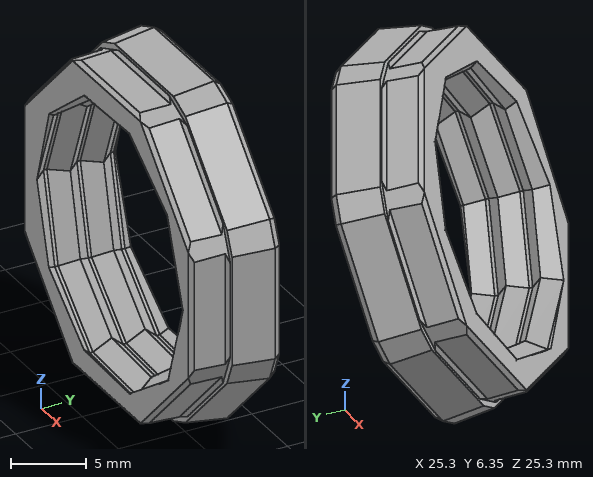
import cadquery as cq
import math


width = 6.35
front_chamfer_end = 0.3
neck_end = 2.58
shoulder = 2.8
collar_widest = 5.81

sides = 8
half_side = 180 / sides

front_flat = 11.38
neck_front_flat = 11.65
neck_back_flat = 11.73
neck_root_flat = 12.0
collar_front_flat = 12.24
collar_flat = 12.65
back_chamfer = 0.38

neck_front_corner = 12.3
neck_back_corner = 12.45
collar_corner_extra = 0.63

steps_per_turn = 10
pitch = 2.5
crest_radius = 9.65
root_radius = 10.6
root_start = -pitch / steps_per_turn
root_end = 0.0
crest_after_root = pitch / 2
thread_turns = range(-2, 5)


def octagon_stack(levels, turn):
    """Stack of octagonal frustums through (y, half width) levels, turned about Y in degrees."""
    stack = cq.Workplane("XY")
    for (y_low, half_low), (y_high, half_high) in zip(levels, levels[1:]):
        frustum = (
            cq.Workplane("XZ", origin=(0, y_low, 0))
            .polygon(sides, 2 * half_low, circumscribed=True)
            .workplane(offset=y_low - y_high)
            .polygon(sides, 2 * half_high, circumscribed=True)
            .loft(ruled=True)
        )
        stack = stack.union(frustum)
    return stack.rotate((0, 0, 0), (0, 1, 0), turn)


def outer_body():
    collar = [
        (shoulder, collar_front_flat),
        (collar_widest, collar_flat),
        (width, collar_flat - back_chamfer),
    ]
    neck = [
        (0, front_flat),
        (front_chamfer_end, neck_front_flat),
        (neck_end, neck_back_flat),
        (shoulder, neck_root_flat),
    ]
    neck_corners = [(0, neck_front_corner), (shoulder, neck_back_corner)]
    collar_corners = [(y, half + collar_corner_extra) for y, half in collar]

    flats = octagon_stack(neck, 0).union(octagon_stack(collar, 0))
    corners = octagon_stack(neck_corners, half_side).union(octagon_stack(collar_corners, half_side))
    return flats.intersect(corners)


def thread_profile(step):
    """(radius, y) points of the thread at one angular step, starting and ending on the axis."""
    lead = pitch * step / steps_per_turn
    points = []
    for turn in thread_turns:
        start = lead + turn * pitch
        points.append((root_radius, start + root_start))
        points.append((root_radius, start + root_end))
        points.append((crest_radius, start + crest_after_root))
    return [(0, points[0][1])] + points + [(0, points[-1][1])]


def place(point, step):
    """Point of the thread profile turned to its step; the thread runs clockwise into +Y."""
    radius, y = point
    angle = -2 * math.pi * step / steps_per_turn
    return cq.Vector(radius * math.cos(angle), y, radius * math.sin(angle))


def flat_face(points):
    return cq.Face.makeFromWires(cq.Wire.makePolygon(points, close=True))


def thread_wedge(step):
    """Bore volume between two neighbouring steps, with its twisted sides split into triangles."""
    near = [place(point, step) for point in thread_profile(step)]
    far = [place(point, step + 1) for point in thread_profile(step + 1)]
    axis_low, axis_high = near[0], far[-1]
    near = [axis_low] + near[1:-1] + [axis_high]
    far = [axis_low] + far[1:-1] + [axis_high]

    faces = [flat_face(near), flat_face(far)]
    faces.append(flat_face([axis_low, near[1], far[1]]))
    faces.append(flat_face([axis_high, near[-2], far[-2]]))
    for i in range(1, len(near) - 2):
        faces.append(flat_face([near[i], near[i + 1], far[i + 1]]))
        faces.append(flat_face([near[i], far[i + 1], far[i]]))
    return cq.Solid.makeSolid(cq.Shell.makeShell(faces))


result = outer_body()
for step in range(steps_per_turn):
    result = result.cut(cq.Workplane(obj=thread_wedge(step)))